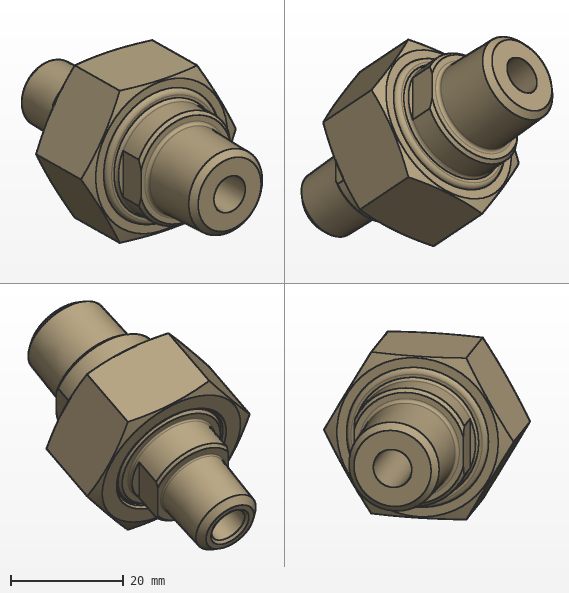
import cadquery as cq
import math


TOTAL_LENGTH = 54.0
BORE_DIA = 7.0
THREAD_TAPER = 1 / 32
JOINT_X = 24.85

SMALL_TIP_DIA = 10.2
SMALL_TIP_CHAMFER = 1.3
SMALL_BORE_CHAMFER = 0.55
SMALL_COLLAR_X = 11.95
SMALL_COLLAR_DIA = 18.0
SMALL_COLLAR_CHAMFER = 0.55
SMALL_ROOT_FILLET = 0.25
SMALL_FLAT_WIDTH = 15.0
SMALL_FLAT_END_X = 18.0
SHOULDER_X = 19.0
SHOULDER_FILLET = 0.3
SHOULDER_DIA = 22.0
SHOULDER_CHAMFER = 0.55
RETAINER_DIA = 25.0

LARGE_TIP_DIA = 14.1
LARGE_TIP_CHAMFER = 1.2
LARGE_COLLAR_X = 41.1
LARGE_COLLAR_DIA = 22.0
LARGE_COLLAR_CHAMFER = 0.65
LARGE_ROOT_FILLET = 0.65
LARGE_FLAT_WIDTH = 20.0
LARGE_FLAT_START_X = 35.8
FLANGE_X = 35.0
FLANGE_DIA = 25.9
FLANGE_ROUND = 0.95

RELIEF_RADIUS = 1.0
RELIEF_LENGTH = 0.8

NUT_X = 18.95
NUT_WIDTH = 15.05
NUT_ACROSS_FLATS = 30.0
NUT_CORNER_DIA = NUT_ACROSS_FLATS / math.cos(math.pi / 6)
NUT_FACE_DIA = 29.5
NUT_CHAMFER_LENGTH = 0.9
NUT_LIP_DIA = 22.5
NUT_LIP_CHAMFER = 0.45
NUT_LIP_END_X = 22.15

RELIEF_RISE = RELIEF_RADIUS - math.sqrt(RELIEF_RADIUS**2 - RELIEF_LENGTH**2)
RELIEF_MID_RISE = RELIEF_RADIUS - math.sqrt(RELIEF_RADIUS**2 - (RELIEF_LENGTH / 2) ** 2)
HALF_ARC = math.sqrt(0.5)


def revolve_about_x(profile):
    """Revolve a closed (x, radius) profile about the X axis."""
    return profile.close().revolve(360, (0, 0, 0), (1, 0, 0))


def cut_wrench_flats(body, start_x, end_x, width, collar_dia):
    """Cut two parallel flats, facing +Y and -Y, into a collar."""
    for side in (-1, 1):
        cutter = cq.Workplane("XY").box(end_x - start_x, collar_dia, 2 * collar_dia)
        middle_x = (start_x + end_x) / 2
        middle_y = side * (width + collar_dia) / 2
        body = body.cut(cutter.translate((middle_x, middle_y, 0)))
    return body


def make_small_end():
    bore = BORE_DIA / 2
    tip = SMALL_TIP_DIA / 2
    collar = SMALL_COLLAR_DIA / 2
    shoulder = SHOULDER_DIA / 2
    retainer = RETAINER_DIA / 2
    taper_end_x = SMALL_COLLAR_X - SMALL_ROOT_FILLET
    taper_start = tip + SMALL_TIP_CHAMFER
    taper_end = taper_start + (taper_end_x - SMALL_TIP_CHAMFER) * THREAD_TAPER
    root_sag = SMALL_ROOT_FILLET * (1 - HALF_ARC)
    shoulder_sag = SHOULDER_FILLET * (1 - HALF_ARC)

    profile = (
        cq.Workplane("XY")
        .moveTo(SMALL_BORE_CHAMFER, bore)
        .lineTo(0, bore + SMALL_BORE_CHAMFER)
        .lineTo(0, tip)
        .lineTo(SMALL_TIP_CHAMFER, taper_start)
        .lineTo(taper_end_x, taper_end)
        .threePointArc(
            (SMALL_COLLAR_X - root_sag, taper_end + root_sag),
            (SMALL_COLLAR_X, taper_end + SMALL_ROOT_FILLET),
        )
        .lineTo(SMALL_COLLAR_X, collar - SMALL_COLLAR_CHAMFER)
        .lineTo(SMALL_COLLAR_X + SMALL_COLLAR_CHAMFER, collar)
        .lineTo(SHOULDER_X - SHOULDER_FILLET, collar)
        .threePointArc(
            (SHOULDER_X - shoulder_sag, collar + shoulder_sag),
            (SHOULDER_X, collar + SHOULDER_FILLET),
        )
        .lineTo(SHOULDER_X, shoulder - SHOULDER_CHAMFER)
        .lineTo(SHOULDER_X + SHOULDER_CHAMFER, shoulder)
        .lineTo(NUT_LIP_END_X, shoulder)
        .lineTo(NUT_LIP_END_X, retainer)
        .lineTo(JOINT_X, retainer)
        .lineTo(JOINT_X, bore)
    )
    body = revolve_about_x(profile)
    return cut_wrench_flats(body, SMALL_COLLAR_X, SMALL_FLAT_END_X, SMALL_FLAT_WIDTH, SMALL_COLLAR_DIA)


def make_large_end():
    bore = BORE_DIA / 2
    tip = LARGE_TIP_DIA / 2
    collar = LARGE_COLLAR_DIA / 2
    flange = FLANGE_DIA / 2
    taper_end_x = LARGE_COLLAR_X + LARGE_ROOT_FILLET
    tip_chamfer_x = TOTAL_LENGTH - LARGE_TIP_CHAMFER
    taper_start = tip + LARGE_TIP_CHAMFER
    taper_end = taper_start + (tip_chamfer_x - taper_end_x) * THREAD_TAPER
    root_sag = LARGE_ROOT_FILLET * (1 - HALF_ARC)
    round_sag = FLANGE_ROUND * (1 - HALF_ARC)

    profile = (
        cq.Workplane("XY")
        .moveTo(JOINT_X, bore)
        .lineTo(JOINT_X, flange)
        .lineTo(FLANGE_X - FLANGE_ROUND, flange)
        .threePointArc(
            (FLANGE_X - round_sag, flange - round_sag),
            (FLANGE_X, flange - FLANGE_ROUND),
        )
        .lineTo(FLANGE_X, collar + RELIEF_RISE)
        .threePointArc(
            (FLANGE_X + RELIEF_LENGTH / 2, collar + RELIEF_MID_RISE),
            (FLANGE_X + RELIEF_LENGTH, collar),
        )
        .lineTo(LARGE_COLLAR_X - LARGE_COLLAR_CHAMFER, collar)
        .lineTo(LARGE_COLLAR_X, collar - LARGE_COLLAR_CHAMFER)
        .lineTo(LARGE_COLLAR_X, taper_end + LARGE_ROOT_FILLET)
        .threePointArc(
            (LARGE_COLLAR_X + root_sag, taper_end + root_sag),
            (taper_end_x, taper_end),
        )
        .lineTo(tip_chamfer_x, taper_start)
        .lineTo(TOTAL_LENGTH, tip)
        .lineTo(TOTAL_LENGTH, bore)
    )
    body = revolve_about_x(profile)
    return cut_wrench_flats(body, LARGE_FLAT_START_X, LARGE_COLLAR_X, LARGE_FLAT_WIDTH, LARGE_COLLAR_DIA)


def make_nut():
    end_x = NUT_X + NUT_WIDTH
    lip = NUT_LIP_DIA / 2
    cavity = FLANGE_DIA / 2
    face = NUT_FACE_DIA / 2
    corner = NUT_CORNER_DIA / 2

    hexagon = cq.Workplane("YZ", origin=(NUT_X, 0, 0)).polygon(6, NUT_CORNER_DIA).extrude(NUT_WIDTH)

    profile = (
        cq.Workplane("XY")
        .moveTo(NUT_X, lip + NUT_LIP_CHAMFER)
        .lineTo(NUT_X, face)
        .lineTo(NUT_X + NUT_CHAMFER_LENGTH, corner)
        .lineTo(end_x - NUT_CHAMFER_LENGTH, corner)
        .lineTo(end_x, face)
        .lineTo(end_x, cavity)
        .lineTo(NUT_LIP_END_X, cavity)
        .lineTo(NUT_LIP_END_X, lip)
        .lineTo(NUT_X + NUT_LIP_CHAMFER, lip)
    )
    return hexagon.intersect(revolve_about_x(profile))


small_end = make_small_end()
large_end = make_large_end()
nut = make_nut()

result = cq.Compound.makeCompound([small_end.val(), large_end.val(), nut.val()])